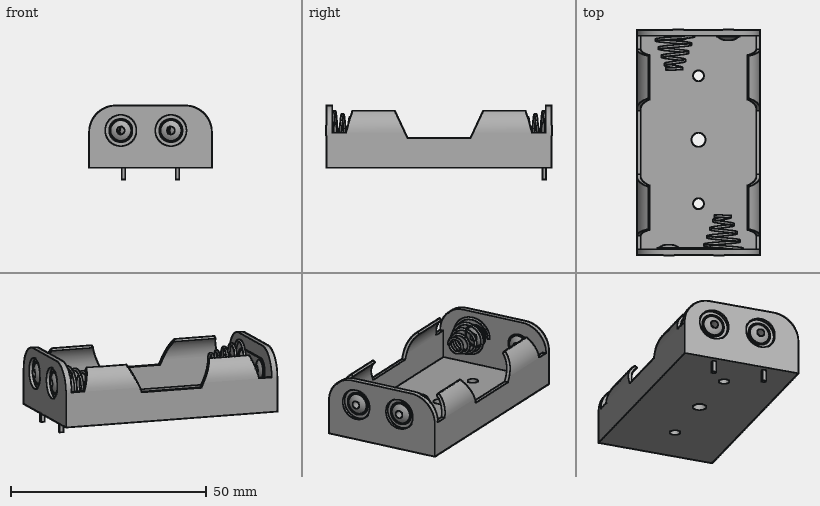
import cadquery as cq
import math

tray_width = 31.5
tray_length = 57.65
end_height = 16.0
end_thickness = 1.55
wall_thickness = 1.0
floor_thickness = 1.75
corner_radius = 6.95
corner_center_x = tray_width / 2 - corner_radius
corner_center_z = end_height - corner_radius
inner_end_y = tray_length / 2 - end_thickness

clip_tip_angle = math.radians(54)
clip_tip_thickness = 0.75
clip_top = corner_center_z + corner_radius * math.sin(clip_tip_angle)
gap_floor_z = 7.7
gap_half_length = 8.05
clip_top_near_y = 11.3
clip_top_far_y = 22.15
clip_base_far_y = 23.85

hole_row_y = 0.7
hole_spacing = 16.35
small_hole_diameter = 2.7
center_hole_diameter = 3.55

contact_z = 9.55
button_x = 7.6
spring_rivet_x = 5.2
recess_diameter = 8.0
flange_diameter = 6.0
dome_diameter = 5.3
bore_diameter = 2.0
flange_thickness = 0.25
head_height = 1.1
total_length = 58.0
head_overhang = (total_length - tray_length) / 2
recess_depth = head_height - head_overhang
link_thickness = 0.35

spring_x = 6.2
wire_diameter = 0.65
coil_pitch = 2.1
coil_taper = 0.75
coil_base_radius = 4.9
coil_turns = 4.0
closing_turns = 0.5
coil_points_per_turn = 12
closing_pitch = 0.2

pin_size = 1.0
pin_length = 3.0
pin_x = 6.9
pin_y = 26.9


def make_end_plates():
    """Two plates with rounded upper corners, one at each end."""
    plate = (
        cq.Workplane("XY")
        .box(tray_width, end_thickness, end_height, centered=(True, False, False))
        .edges("|Y and >Z")
        .fillet(corner_radius)
        .translate((0, inner_end_y, 0))
    )
    return plate.union(plate.mirror("XZ"))


def make_side_wall():
    """The +X wall: upright, then curling inward as a tapering clip, trimmed to the side outline."""

    def arc_point(radius, angle):
        return (
            corner_center_x + radius * math.cos(angle),
            corner_center_z + radius * math.sin(angle),
        )

    wall_inner_x = tray_width / 2 - wall_thickness
    section = (
        cq.Workplane("XZ")
        .moveTo(tray_width / 2, 0)
        .lineTo(wall_inner_x, 0)
        .lineTo(wall_inner_x, corner_center_z)
        .tangentArcPoint(arc_point(corner_radius - clip_tip_thickness, clip_tip_angle), relative=False)
        .lineTo(*arc_point(corner_radius, clip_tip_angle))
        .threePointArc(arc_point(corner_radius, clip_tip_angle / 2), arc_point(corner_radius, 0))
        .close()
        .extrude(inner_end_y, both=True)
    )
    half_outline = [
        (gap_half_length, gap_floor_z),
        (clip_top_near_y, clip_top),
        (clip_top_far_y, clip_top),
        (clip_base_far_y, corner_center_z),
        (inner_end_y, corner_center_z),
        (inner_end_y, 0),
    ]
    mirrored_half = [(-y, z) for y, z in reversed(half_outline)]
    outline = cq.Workplane("YZ").polyline(half_outline + mirrored_half).close().extrude(tray_width / 2)
    return section.intersect(outline)


def make_floor():
    """Floor plate with three holes along its middle."""
    return (
        cq.Workplane("XY")
        .box(tray_width, 2 * inner_end_y, floor_thickness, centered=(True, True, False))
        .faces("<Z")
        .workplane(origin=(0, hole_row_y, 0))
        .hole(center_hole_diameter)
        .faces("<Z")
        .workplane(origin=(0, hole_row_y, 0))
        .pushPoints([(0, -hole_spacing), (0, hole_spacing)])
        .hole(small_hole_diameter)
    )


def cylinder_along_y(diameter, x, y_start, y_end):
    """Round bar parallel to Y at contact height."""
    return cq.Workplane(
        cq.Solid.makeCylinder(
            diameter / 2, y_end - y_start, cq.Vector(x, y_start, contact_z), cq.Vector(0, 1, 0)
        )
    )


def make_head(x, seat_y, outward):
    """Rivet head on a seat plane: thin flange and domed cap, pointing along outward (+1 or -1) in Y."""
    dome_r = dome_diameter / 2
    bore_r = bore_diameter / 2
    cap_height = head_height - flange_thickness
    sphere_drop = (dome_r**2 - bore_r**2 - cap_height**2) / (2 * cap_height)
    sphere_r = math.hypot(dome_r, sphere_drop)
    mid_r = (dome_r + bore_r) / 2
    mid_height = flange_thickness + math.sqrt(sphere_r**2 - mid_r**2) - sphere_drop
    return (
        cq.Workplane("XY")
        .lineTo(flange_diameter / 2, 0)
        .lineTo(flange_diameter / 2, outward * flange_thickness)
        .lineTo(dome_r, outward * flange_thickness)
        .threePointArc((mid_r, outward * mid_height), (bore_r, outward * head_height))
        .lineTo(0, outward * head_height)
        .close()
        .revolve(360, (0, 0), (0, 1))
        .translate((x, seat_y, contact_z))
    )


def add_rivet(body, x, end):
    """Recess the end plate (end = +1 or -1), add a head on both sides and bore through."""
    outer_y = end * tray_length / 2
    seat_y = outer_y - end * recess_depth
    body = body.cut(cylinder_along_y(recess_diameter, x, min(outer_y, seat_y), max(outer_y, seat_y)))
    body = body.union(make_head(x, seat_y, end))
    body = body.union(make_head(x, end * inner_end_y, -end))
    bore_ends = sorted([end * total_length / 2, end * (inner_end_y - head_height)])
    return body.cut(cylinder_along_y(bore_diameter, x, *bore_ends))


def make_link():
    """Strip on the -Y end plate joining its two contacts."""
    return (
        cq.Workplane("XZ", origin=((spring_rivet_x - button_x) / 2, -inner_end_y, contact_z))
        .slot2D(spring_rivet_x + button_x + flange_diameter, flange_diameter)
        .extrude(-link_thickness)
    )


def make_spring(x, end):
    """Conical coil from the end plate inward, closed by a flatter half turn at its tip."""

    def coil_point(turn):
        radius = coil_base_radius - coil_taper * min(turn, coil_turns)
        rise = coil_pitch * min(turn, coil_turns) + closing_pitch * max(turn - coil_turns, 0)
        angle = 2 * math.pi * turn
        return (
            x + radius * math.cos(angle),
            end * (inner_end_y - rise),
            contact_z + radius * math.sin(angle),
        )

    point_count = round((coil_turns + closing_turns) * coil_points_per_turn)
    points = [cq.Vector(*coil_point(i / coil_points_per_turn)) for i in range(point_count + 1)]
    path = cq.Edge.makeSpline(points)
    section = cq.Workplane(cq.Plane(points[0], (1, 0, 0), path.tangentAt(0))).circle(wire_diameter / 2)
    return section.sweep(cq.Workplane(cq.Wire.assembleEdges([path])), isFrenet=True)


def make_pins():
    """Two square solder pins below the floor."""
    return (
        cq.Workplane("XY")
        .pushPoints([(-pin_x, pin_y), (pin_x, pin_y)])
        .rect(pin_size, pin_size)
        .extrude(-pin_length)
    )


side_wall = make_side_wall()
result = make_floor().union(make_end_plates()).union(side_wall).union(side_wall.mirror("YZ"))
result = result.union(make_link())
for end in (1, -1):
    result = add_rivet(result, end * button_x, end)
    result = add_rivet(result, -end * spring_rivet_x, end)
    result = result.union(make_spring(-end * spring_x, end))
result = result.union(make_pins())